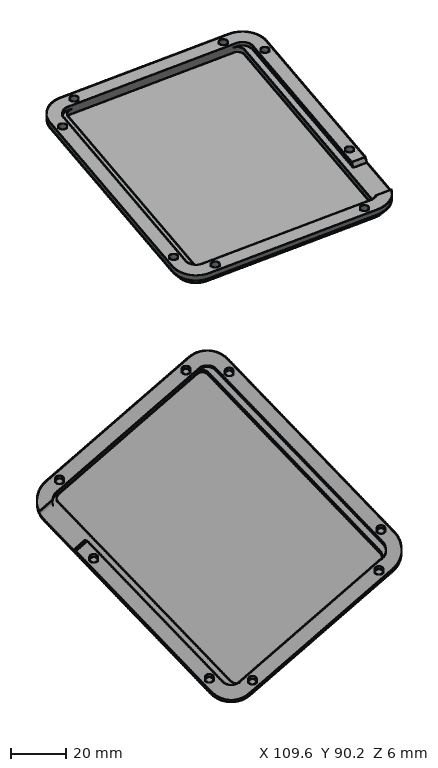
import cadquery as cq

length = 109.6
width = 90.2
height = 6.0
corner_radius = 10.0
rim_height = 2.5
base_inset = 2.5

wall = 5.7
ledge_depth = 1.8
ledge_width = 2.6
recess_depth = 4.2
recess_corner_radius = 3.0

hole_diameter = 3.3
hole_depth = 3.3
hole_edge_offset = 3.0
hole_corner_offset = 14.0
shifted_hole_x = 21.4

opening_left = 29.1
opening_right = 46.7
opening_flare = 1.2

half_length = length / 2
half_width = width / 2
ledge_z = height - ledge_depth


def rounded_block(x_size, y_size, z_size, radius, bottom):
    """Upright block with rounded vertical corners, centred on the Z axis."""
    block = cq.Workplane("XY").box(x_size, y_size, z_size, centered=(True, True, False))
    return block.edges("|Z").fillet(radius).translate((0, 0, bottom))


def tray_body():
    """Rounded plate whose lower edge tapers inward to the base."""
    plate = rounded_block(length, width, height, corner_radius, 0)
    return plate.faces("<Z").chamfer(height - rim_height, base_inset)


def stepped_recess():
    """Shallow recess with a deeper one inside, leaving ledges along the front and back."""
    inner_length = length - 2 * wall
    inner_width = width - 2 * wall
    shallow = rounded_block(inner_length, inner_width, ledge_depth, corner_radius - wall, ledge_z)
    deep = rounded_block(
        inner_length,
        inner_width - 2 * ledge_width,
        recess_depth,
        recess_corner_radius,
        height - recess_depth,
    )
    return shallow.union(deep)


def screw_holes():
    """Blind holes in the rim, two per side; the back right one clears the opening."""
    end_x = half_length - hole_edge_offset
    end_y = half_width - hole_corner_offset
    side_x = half_length - hole_corner_offset
    side_y = half_width - hole_edge_offset
    centers = [(x, y) for x in (-end_x, end_x) for y in (-end_y, end_y)]
    centers += [(-side_x, -side_y), (side_x, -side_y), (-side_x, side_y), (shifted_hole_x, side_y)]
    return (
        cq.Workplane("XY", origin=(0, 0, height))
        .pushPoints(centers)
        .circle(hole_diameter / 2)
        .extrude(-hole_depth)
    )


def wall_opening():
    """Flared gap in the back wall: straight slope on the left, concave curve on the right."""
    curve_x = opening_right + opening_flare
    curve_z = ledge_z + opening_flare
    profile = (
        cq.Workplane("XZ", origin=(0, half_width, 0))
        .moveTo(opening_left - opening_flare, height)
        .lineTo(opening_left, ledge_z)
        .lineTo(opening_right, ledge_z)
        .radiusArc((curve_x, curve_z), -opening_flare)
        .lineTo(curve_x, height)
        .close()
    )
    return profile.extrude(wall + ledge_width)


result = tray_body().cut(stepped_recess()).cut(screw_holes()).cut(wall_opening())